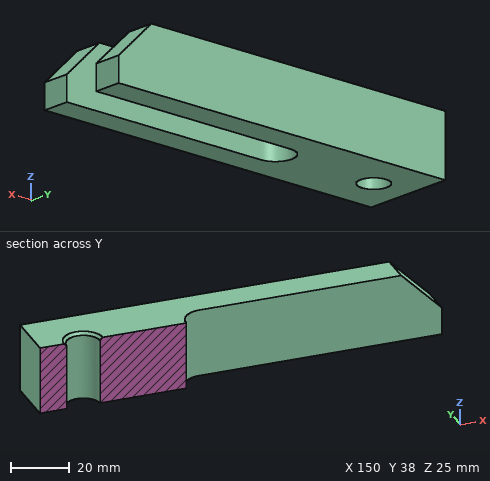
import cadquery as cq

length = 150.0
width = 38.0
height = 25.0
nose_bevel = 15.0

slot_width = 15.0
slot_start = 53.5

hole_diameter = 12.0
hole_x = 15.9
rim_diameter = 14.1
rim_chamfer = (rim_diameter - hole_diameter) / 2


def make_bar():
    """Rectangular bar with the upper edge of its nose bevelled."""
    bar = cq.Workplane("XY").box(length, width, height, centered=(False, True, False))
    return bar.edges(">X and >Z").chamfer(nose_bevel)


def make_slot():
    """Cutter for the open slot, through the full height."""
    radius = slot_width / 2
    arc_x = slot_start + radius
    return (
        cq.Workplane("XY")
        .moveTo(length, -radius)
        .lineTo(arc_x, -radius)
        .threePointArc((slot_start, 0), (arc_x, radius))
        .lineTo(length, radius)
        .close()
        .extrude(height)
    )


def make_hole():
    """Cutter for the through hole, widening at 45 degrees to the top rim."""
    hole_radius = hole_diameter / 2
    rim_radius = rim_diameter / 2
    profile = (
        cq.Workplane("XZ")
        .polyline([
            (0, 0),
            (hole_radius, 0),
            (hole_radius, height - rim_chamfer),
            (rim_radius, height),
            (0, height),
        ])
        .close()
    )
    return profile.revolve(360, (0, 0), (0, 1)).translate((hole_x, 0, 0))


result = make_bar().cut(make_slot()).cut(make_hole())